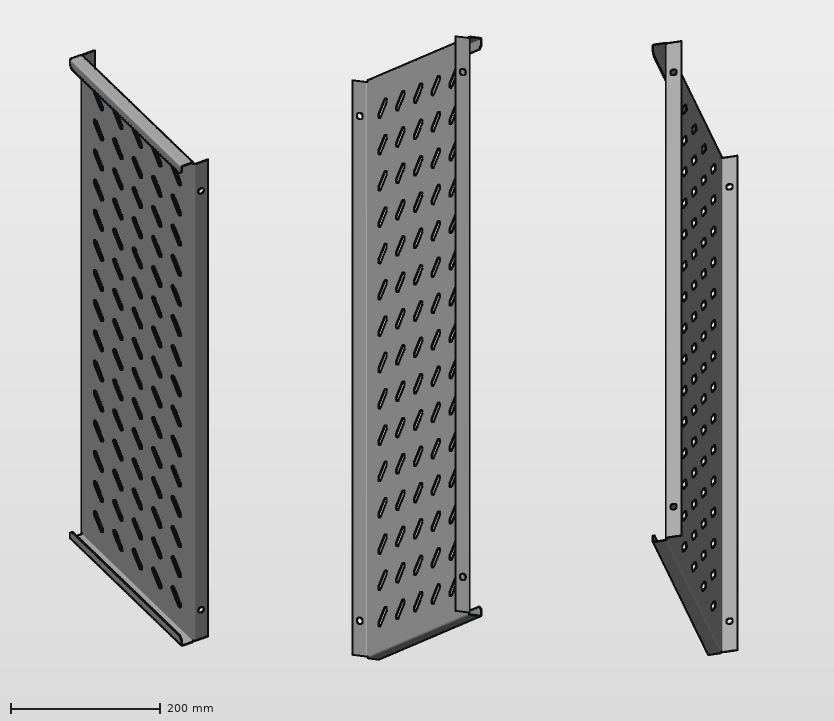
import cadquery as cq

WIDTH = 292.0
DEPTH = 41.0
HEIGHT = 797.0

THICKNESS = 1.5
BEND_INNER = 1.5
BEND_OUTER = BEND_INNER + THICKNESS

FLANGE_DEPTH = 22.5
WALL_DEPTH = DEPTH - FLANGE_DEPTH + THICKNESS
LIP_HEIGHT = 15.0
LIP_CORNER = 5.0

FLANGE_LENGTH = HEIGHT - 2 * BEND_OUTER
WALL_LENGTH = WIDTH - 2 * BEND_OUTER

LIP_FACE_Y = -DEPTH / 2
FLANGE_EDGE_Y = DEPTH / 2
PANEL_BACK_Y = LIP_FACE_Y + WALL_DEPTH
PANEL_FRONT_Y = PANEL_BACK_Y - THICKNESS

SLOT_COLUMNS = 5
SLOT_ROWS = 15
SLOT_PITCH = 50.0
SLOT_LENGTH = 30.5
SLOT_WIDTH = 8.5
SLOT_ANGLE = -45.0

HOLE_DIAMETER = 9.0
HOLE_EDGE_Y = 11.0
HOLE_Z = 347.5


def box_between(x_size, y_min, y_max, z_size):
    """Box centred in X and Z, spanning y_min to y_max."""
    return cq.Workplane("XY").box(x_size, y_max - y_min, z_size).translate((0, (y_min + y_max) / 2, 0))


def flanged_panel():
    """Panel with its two side flanges, as a channel with rounded bends."""
    outer = box_between(WIDTH, PANEL_FRONT_Y, FLANGE_EDGE_Y, FLANGE_LENGTH)
    outer = outer.edges("|Z and <Y").fillet(BEND_OUTER)
    inner = box_between(WIDTH - 2 * THICKNESS, PANEL_BACK_Y, FLANGE_EDGE_Y + THICKNESS, FLANGE_LENGTH)
    inner = inner.edges("|Z and <Y").fillet(BEND_INNER)
    return outer.cut(inner)


def lipped_panel():
    """Panel with its two end walls and inward lips, as a C section with rounded bends."""
    outer = box_between(WALL_LENGTH, LIP_FACE_Y, PANEL_BACK_Y, HEIGHT)
    outer = outer.edges("|X").fillet(BEND_OUTER)
    inner = box_between(WALL_LENGTH, LIP_FACE_Y + THICKNESS, PANEL_FRONT_Y, HEIGHT - 2 * THICKNESS)
    inner = inner.edges("|X").fillet(BEND_INNER)
    opening = box_between(WALL_LENGTH, LIP_FACE_Y, LIP_FACE_Y + THICKNESS, HEIGHT - 2 * LIP_HEIGHT)
    return outer.cut(inner).cut(opening)


def lip_corner_cutters():
    """Triangular prisms that chamfer the free corners of both lips."""
    x_end = WALL_LENGTH / 2
    z_edge = HEIGHT / 2 - LIP_HEIGHT
    cutters = cq.Workplane("XZ", origin=(0, LIP_FACE_Y, 0))
    for x_side in (-1, 1):
        for z_side in (-1, 1):
            corner = (x_side * x_end, z_side * z_edge)
            along_lip = (x_side * (x_end - LIP_CORNER), z_side * z_edge)
            up_end = (x_side * x_end, z_side * (z_edge + LIP_CORNER))
            cutters = cutters.moveTo(*corner).lineTo(*along_lip).lineTo(*up_end).close()
    return cutters.extrude(-THICKNESS)


def slot_cutters():
    """Grid of diagonal slots, centred on the panel."""
    return (
        cq.Workplane("XZ", origin=(0, PANEL_BACK_Y, 0))
        .rarray(SLOT_PITCH, SLOT_PITCH, SLOT_COLUMNS, SLOT_ROWS)
        .slot2D(SLOT_LENGTH, SLOT_WIDTH, SLOT_ANGLE)
        .extrude(THICKNESS)
    )


def flange_hole_cutters():
    """Round holes through both flanges, near the top and the bottom."""
    hole_y = FLANGE_EDGE_Y - HOLE_EDGE_Y
    return (
        cq.Workplane("YZ")
        .pushPoints([(hole_y, -HOLE_Z), (hole_y, HOLE_Z)])
        .circle(HOLE_DIAMETER / 2)
        .extrude(WIDTH / 2, both=True)
    )


tray = flanged_panel().union(lipped_panel())
tray = tray.cut(lip_corner_cutters())
tray = tray.cut(slot_cutters())
result = tray.cut(flange_hole_cutters())